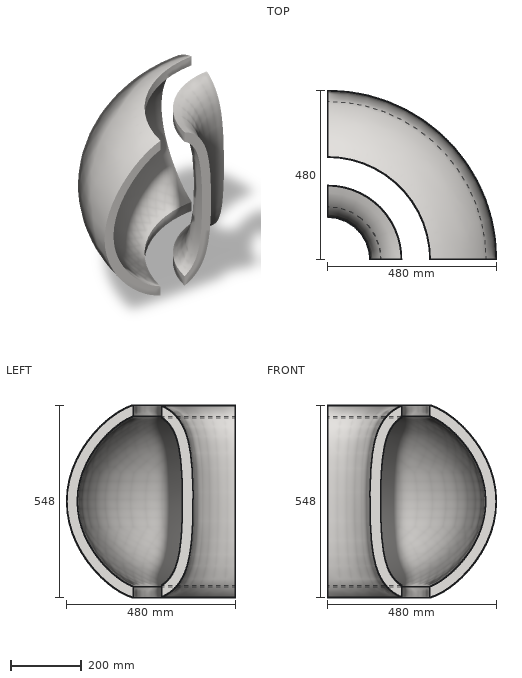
import math

import cadquery as cq

major_radius = 300.0
minor_radius = 100.0
core_half_height = 200.0
triangularity = 0.5

core_clearance = 50.0
wall_thickness = 30.0
sweep_angle = 90

gap_inner_radius = 210.0
gap_outer_radius = 290.5

spline_points = 48
cutter_length = 4 * (core_half_height + core_clearance)


def offset_point(angle, offset):
    """Point of the core curve, moved outwards along its normal by the offset."""
    skewed_angle = angle + triangularity * math.sin(angle)
    r = major_radius + minor_radius * math.cos(skewed_angle)
    z = core_half_height * math.sin(angle)

    tangent_r = -minor_radius * math.sin(skewed_angle) * (1 + triangularity * math.cos(angle))
    tangent_z = core_half_height * math.cos(angle)
    tangent_length = math.hypot(tangent_r, tangent_z)
    return (r + offset * tangent_z / tangent_length, z - offset * tangent_r / tangent_length)


def swept_section(offset):
    """Solid inside the offset curve, swept about the Z axis from +X to +Y."""
    angles = [math.pi / 2 + 2 * math.pi * i / spline_points for i in range(spline_points)]
    points = [offset_point(angle, offset) for angle in angles]
    return (
        cq.Workplane("XZ")
        .spline(points, periodic=True)
        .close()
        .revolve(sweep_angle, (0, 0, 0), (0, 1, 0))
    )


def make_full_shell():
    """Whole D-shaped shell, before the gap parts it."""
    return swept_section(core_clearance + wall_thickness).cut(swept_section(core_clearance))


def make_cylinder(radius):
    """Cylinder on the Z axis, taller than the shell."""
    return cq.Workplane("XY").circle(radius).extrude(cutter_length / 2, both=True)


def make_inner_shell():
    """Part of the shell between the Z axis and the gap."""
    return make_full_shell().intersect(make_cylinder(gap_inner_radius)).solids()


def make_outer_shell():
    """Part of the shell beyond the gap."""
    return make_full_shell().cut(make_cylinder(gap_outer_radius)).solids()


inner_shell = make_inner_shell()
outer_shell = make_outer_shell()

result = cq.Compound.makeCompound([inner_shell.val(), outer_shell.val()])